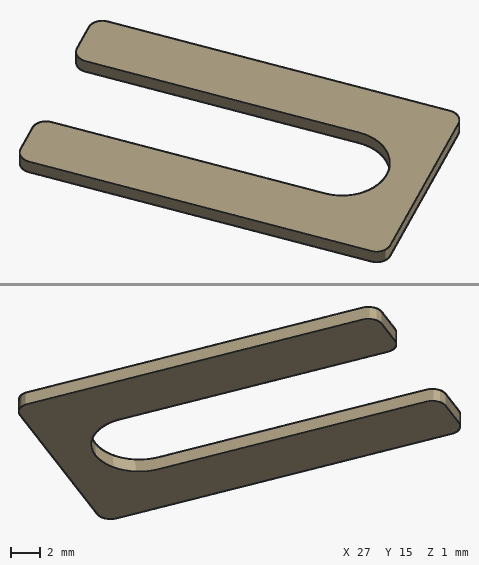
import cadquery as cq

length = 27.0
width = 15.0
thickness = 1.0
corner_radius = 1.0

slot_width = 6.5
slot_depth = 24.25
slot_radius = slot_width / 2
slot_straight = slot_depth - slot_radius


def make_slot():
    """Cutter for the open slot, running in from the -X end."""
    return (
        cq.Workplane("XY")
        .moveTo(0, -slot_radius)
        .lineTo(slot_straight, -slot_radius)
        .threePointArc((slot_depth, 0), (slot_straight, slot_radius))
        .lineTo(0, slot_radius)
        .close()
        .extrude(thickness)
        .translate((-length / 2, 0, 0))
    )


plate = cq.Workplane("XY").box(length, width, thickness, centered=(True, True, False))
slotted_plate = plate.cut(make_slot())

result = slotted_plate.faces("<X or >X").edges("|Z").fillet(corner_radius)